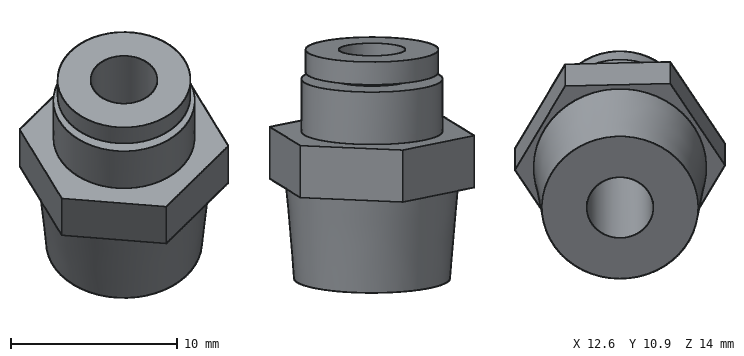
import cadquery as cq
import math

HEX_BOTTOM = 5.82
HEX_TOP = 9.0
BODY_TOP = 12.21
COLLAR_BOTTOM = 12.61
TOTAL_HEIGHT = 14.0

THREAD_TIP_DIAMETER = 9.4
THREAD_ROOT_DIAMETER = 10.39
HEX_ACROSS_CORNERS = 12.63
BODY_DIAMETER = 8.5
NECK_DIAMETER = 4.7
COLLAR_DIAMETER = 8.0
BORE_DIAMETER = 4.0


def cylinder(diameter, bottom, top):
    """Upright cylinder on the part axis between two heights."""
    return cq.Workplane("XY").workplane(offset=bottom).circle(diameter / 2).extrude(top - bottom)


thread_taper = math.degrees(math.atan((THREAD_ROOT_DIAMETER - THREAD_TIP_DIAMETER) / 2 / HEX_BOTTOM))
thread = cq.Workplane("XY").circle(THREAD_TIP_DIAMETER / 2).extrude(HEX_BOTTOM, taper=-thread_taper)

hexagon = (
    cq.Workplane("XY")
    .workplane(offset=HEX_BOTTOM)
    .polygon(6, HEX_ACROSS_CORNERS)
    .extrude(HEX_TOP - HEX_BOTTOM)
)

body = cylinder(BODY_DIAMETER, HEX_TOP, BODY_TOP)
neck = cylinder(NECK_DIAMETER, BODY_TOP, COLLAR_BOTTOM)
collar = cylinder(COLLAR_DIAMETER, COLLAR_BOTTOM, TOTAL_HEIGHT)

bore = cylinder(BORE_DIAMETER, 0, TOTAL_HEIGHT)

result = thread.union(hexagon).union(body).union(neck).union(collar).cut(bore)